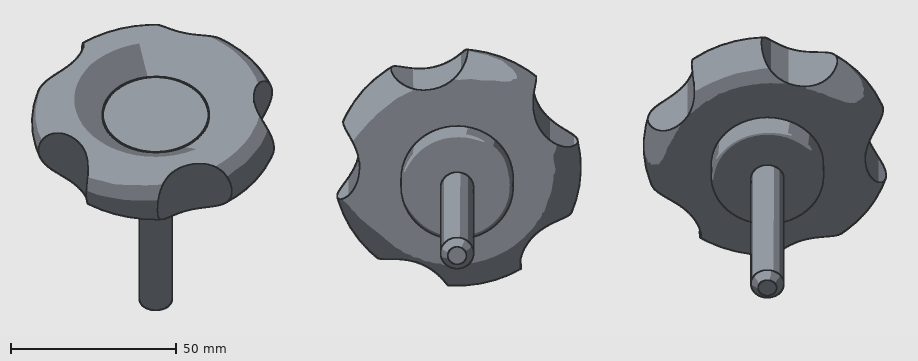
import cadquery as cq
import math

total_height = 88.0

head_radius = 37.5
head_height = 20.0
rim_radius = head_height / 2
flat_radius = head_radius - rim_radius
head_bottom = total_height - head_height

hub_radius = 34.0 / 2
hub_height = 8.0
hub_fillet = 1.2
hub_bottom = head_bottom - hub_height

stem_radius = 10.0 / 2
tip_chamfer = 2.2

dish_mouth_radius = 24.8
dish_floor_radius = 16.2
dish_depth = 6.7
mouth_fillet = 1.5

cover_radius = 15.9
groove_depth = 0.5

scallop_count = 5
scallop_radius = 15.05
scallop_depth_radius = 29.7
scallop_distance = scallop_depth_radius + scallop_radius
first_scallop_angle = -90.0
scallop_overrun = 4.4


def make_head():
    """Rounded disc about Z; its seam lies at +Y, clear of the scallops."""
    profile = (
        cq.Workplane("YZ")
        .moveTo(0, head_bottom)
        .lineTo(flat_radius, head_bottom)
        .threePointArc((head_radius, head_bottom + rim_radius), (flat_radius, total_height))
        .lineTo(0, total_height)
        .close()
    )
    return profile.revolve(360, (0, 0, 0), (0, 1, 0))


def make_scallops():
    """Vertical cylinders that cut the finger grips."""
    start = math.radians(first_scallop_angle)
    step = 2 * math.pi / scallop_count
    centers = [
        (scallop_distance * math.cos(start + i * step), scallop_distance * math.sin(start + i * step))
        for i in range(scallop_count)
    ]
    return (
        cq.Workplane("XY", origin=(0, 0, head_bottom - scallop_overrun))
        .pushPoints(centers)
        .circle(scallop_radius)
        .extrude(head_height + 2 * scallop_overrun)
    )


def make_dish():
    """Truncated cone, wide end up."""
    floor = total_height - dish_depth
    profile = cq.Workplane("YZ").polyline(
        [(0, floor), (dish_floor_radius, floor), (dish_mouth_radius, total_height), (0, total_height)]
    ).close()
    return profile.revolve(360, (0, 0, 0), (0, 1, 0))


def make_groove():
    """Thin ring below the dish floor."""
    bottom = total_height - dish_depth - groove_depth
    return (
        cq.Workplane("XY", origin=(0, 0, bottom))
        .circle(dish_floor_radius)
        .circle(cover_radius)
        .extrude(groove_depth)
    )


def make_hub():
    hub = cq.Workplane("XY", origin=(0, 0, hub_bottom)).circle(hub_radius).extrude(hub_height)
    return hub.faces("<Z").edges().fillet(hub_fillet)


def make_stem():
    stem = cq.Workplane("XY").circle(stem_radius).extrude(hub_bottom)
    return stem.faces("<Z").edges().chamfer(tip_chamfer)


head = make_head().cut(make_dish())
mouth_edge = cq.selectors.RadiusNthSelector(-2)
head = head.faces(">Z").edges(mouth_edge).fillet(mouth_fillet)
head = head.cut(make_groove()).cut(make_scallops())

result = head.union(make_hub()).union(make_stem())